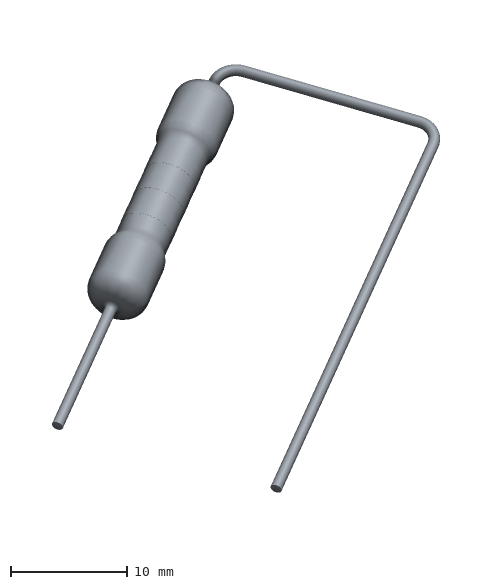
import cadquery as cq
import math

total_length = 42.1
wire_diameter = 1.0
lead_spacing = 20.0
bend_radius = 1.98
cap_diameter = 5.5
barrel_diameter = 4.67
band_diameter = 4.7
band_count = 3
body_center_y = 26.1
barrel_half_length = 5.1
shoulder_length = 1.6
cap_length = 3.95
root_fillet = 0.5

wire_radius = wire_diameter / 2
cap_radius = cap_diameter / 2
barrel_radius = barrel_diameter / 2
dome_radius = cap_radius - wire_radius - root_fillet
shoulder_end = barrel_half_length + shoulder_length
dome_start = shoulder_end + cap_length
dome_tip = dome_start + dome_radius
body_end = dome_tip + root_fillet
diagonal = math.sqrt(0.5)


def end_half():
    """Half body revolved about Y, from its mid-plane at Y = 0 to the lead root."""
    mid_radius = (cap_radius + barrel_radius) / 2
    mid_shoulder = barrel_half_length + shoulder_length / 2
    dome_mid = (
        cap_radius - dome_radius * (1 - diagonal),
        dome_start + dome_radius * diagonal,
    )
    root_mid = (
        wire_radius + root_fillet * (1 - diagonal),
        body_end - root_fillet * diagonal,
    )
    profile = (
        cq.Workplane("XY")
        .lineTo(barrel_radius, 0)
        .lineTo(barrel_radius, barrel_half_length)
        .tangentArcPoint((mid_radius, mid_shoulder), relative=False)
        .tangentArcPoint((cap_radius, shoulder_end), relative=False)
        .lineTo(cap_radius, dome_start)
        .threePointArc(dome_mid, (cap_radius - dome_radius, dome_tip))
        .threePointArc(root_mid, (wire_radius, body_end))
        .lineTo(0, body_end)
        .close()
    )
    return profile.revolve(360, (0, 0, 0), (0, 1, 0))


def color_bands():
    """Raised bands along the barrel, alternating with plain gaps of equal width."""
    band_width = 2 * barrel_half_length / (2 * band_count + 1)
    bands = cq.Workplane("XZ")
    for index in range(band_count):
        start_y = -barrel_half_length + (2 * index + 1) * band_width
        band = (
            cq.Workplane("XZ", origin=(0, start_y, 0))
            .circle(band_diameter / 2)
            .extrude(-band_width)
        )
        bands = bands.add(band)
    return bands.combine()


def lead_wire():
    """One continuous wire through the body, round two bends and back to Y = 0."""
    top_y = total_length - wire_radius
    bend_y = top_y - bend_radius
    path = (
        cq.Workplane("XY")
        .lineTo(0, bend_y)
        .radiusArc((bend_radius, top_y), bend_radius)
        .lineTo(lead_spacing - bend_radius, top_y)
        .radiusArc((lead_spacing, bend_y), bend_radius)
        .lineTo(lead_spacing, 0)
    )
    return cq.Workplane("XZ").circle(wire_radius).sweep(path)


upper_half = end_half()
body = upper_half.union(upper_half.mirror("XZ")).union(color_bands())
result = body.translate((0, body_center_y, 0)).union(lead_wire())